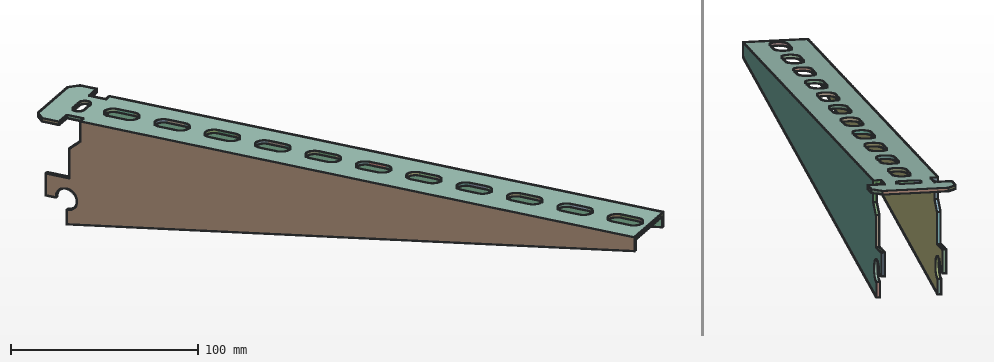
import cadquery as cq

length = 355.0
sheet = 2.0
channel_width = 35.5
total_height = 62.5

head_width = 46.0
head_length = 15.0
head_corner = 5.0

notch_end = 25.0
notch_depth = 4.25

tip_height = 8.25
relief_bottom_z = -12.0
shoulder_x = 18.5
shoulder_z = -17.5
hook_x = 4.5
hook_top_z = -35.0
hook_bottom_z = -48.0
heel_x = 17.0

mouth_x = 16.75
mouth_z = -47.75
mouth_radius = 6.25

slot_count = 11
slot_pitch = 30.0
first_slot_x = 41.0
slot_length = 20.0
slot_width = 10.0
cross_slot_x = 17.25
cross_slot_length = 14.0
cross_slot_width = 6.5


def box(x0, x1, y0, y1, z0, z1):
    """Axis-aligned block between two opposite corners."""
    return cq.Workplane("XY").box(x1 - x0, y1 - y0, z1 - z0, centered=False).translate((x0, y0, z0))


def make_top_plate():
    """Channel top strip with the chamfered head and its two corner notches."""
    half = channel_width / 2
    strip = box(0, length, -half, half, -sheet, 0)
    head = box(0, head_length, -head_width / 2, head_width / 2, -sheet, 0)
    head = head.edges("|Z and <X").chamfer(head_corner)
    plate = strip.union(head)
    for notch_y in (-half, half - notch_depth):
        plate = plate.cut(box(head_length, notch_end, notch_y, notch_y + notch_depth, -sheet, 0))
    return plate


def make_web(outer_y):
    """One side web; outer_y is the Y position of its -Y face."""
    web = (
        cq.Workplane("XZ", origin=(0, outer_y, 0))
        .moveTo(notch_end, 0)
        .lineTo(notch_end, relief_bottom_z)
        .lineTo(shoulder_x, shoulder_z)
        .lineTo(shoulder_x, hook_top_z)
        .lineTo(hook_x, hook_top_z)
        .lineTo(hook_x, hook_bottom_z)
        .lineTo(heel_x, hook_bottom_z)
        .lineTo(heel_x, -total_height)
        .lineTo(length, -tip_height)
        .lineTo(length, 0)
        .close()
        .extrude(-sheet)
    )
    mouth = (
        cq.Workplane("XZ", origin=(mouth_x, outer_y, mouth_z))
        .circle(mouth_radius)
        .extrude(-sheet)
    )
    return web.cut(mouth)


def cut_slots(body):
    """Row of lengthwise slots plus one crosswise slot near the head."""
    slot_centres = [(first_slot_x + i * slot_pitch, 0) for i in range(slot_count)]
    slots = cq.Workplane("XY").pushPoints(slot_centres).slot2D(slot_length, slot_width).extrude(-sheet)
    cross_slot = (
        cq.Workplane("XY")
        .center(cross_slot_x, 0)
        .slot2D(cross_slot_length, cross_slot_width, 90)
        .extrude(-sheet)
    )
    return body.cut(slots).cut(cross_slot)


bracket = make_top_plate()
for web_y in (-channel_width / 2, channel_width / 2 - sheet):
    bracket = bracket.union(make_web(web_y))

result = cut_slots(bracket)